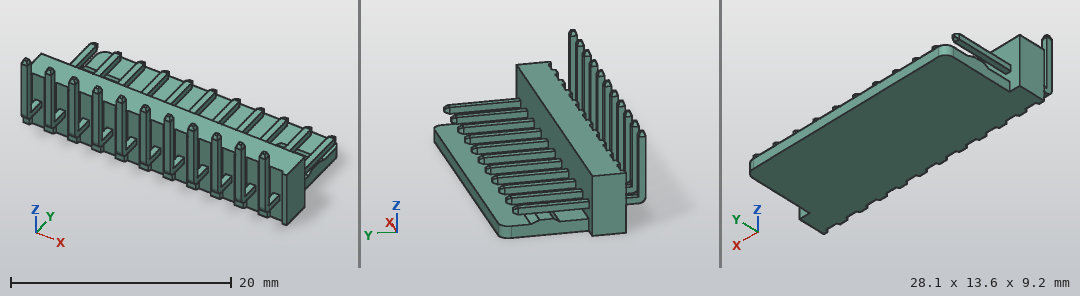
import cadquery as cq


housing_length = 28.12
housing_depth = 3.15
housing_height = 5.85

pin_count = 11
pin_row_span = 25.4
pin_row_offset = 0.08
pin_pitch = pin_row_span / (pin_count - 1)
first_pin_x = pin_row_offset - pin_row_span / 2
pin_positions = [first_pin_x + i * pin_pitch for i in range(pin_count)]

pin_width = 0.65
pin_axis_height = 2.62
pin_top_height = 9.2
pin_front_reach = 2.15
pin_tip_width = 0.35
pin_tip_length = 0.42

groove_depth = 0.3
groove_mouth_width = 1.57
groove_floor_width = 1.3

shelf_width = 25.53
shelf_length = 8.25
shelf_thickness = 1.18
shelf_corner_radius = 0.95
shelf_end = housing_depth + shelf_length
pin_rear_setback = 1.18
pin_rear_end = shelf_end - pin_rear_setback

ridge_width = 4.6
ridge_rise = 0.35
ridge_rear_foot = 2.8
ridge_rear_crest = 3.63
ridge_front_crest = 4.95
ridge_front_foot = 5.5


def make_housing():
    block = cq.Workplane("XY").box(
        housing_length, housing_depth, housing_height, centered=(True, False, False)
    )
    for x in pin_positions:
        block = block.cut(make_groove(x))
    return block


def make_groove(x):
    """Trapezoidal groove, widest at the front face, over the full housing height."""
    return (
        cq.Workplane("XY")
        .moveTo(x - groove_mouth_width / 2, 0)
        .lineTo(x - groove_floor_width / 2, groove_depth)
        .lineTo(x + groove_floor_width / 2, groove_depth)
        .lineTo(x + groove_mouth_width / 2, 0)
        .close()
        .extrude(housing_height)
    )


def make_shelf():
    return (
        cq.Workplane("XY")
        .box(shelf_width, shelf_length, shelf_thickness, centered=(True, False, False))
        .edges("|Z and >Y")
        .fillet(shelf_corner_radius)
        .translate((0, housing_depth, 0))
    )


def make_ridge(x_start):
    """Ridge with sloped flanks, rising from the shelf top."""
    crest_height = shelf_thickness + ridge_rise
    return (
        cq.Workplane("YZ", origin=(x_start, 0, 0))
        .moveTo(shelf_end - ridge_rear_foot, shelf_thickness)
        .lineTo(shelf_end - ridge_rear_crest, crest_height)
        .lineTo(shelf_end - ridge_front_crest, crest_height)
        .lineTo(shelf_end - ridge_front_foot, shelf_thickness)
        .close()
        .extrude(ridge_width)
    )


def make_tip(base_plane):
    """Truncated pyramid that ends a pin."""
    return (
        base_plane.rect(pin_width, pin_width)
        .workplane(offset=pin_tip_length)
        .rect(pin_tip_width, pin_tip_width)
        .loft()
    )


def make_pin():
    """L-shaped pin at x = 0: sharp inside corner, outside corner rounded about it."""
    bar_bottom = pin_axis_height - pin_width / 2
    bar_top = bar_bottom + pin_width
    leg_front = -pin_front_reach
    leg_back = leg_front + pin_width
    bar_end = pin_rear_end - pin_tip_length
    leg_end = pin_top_height - pin_tip_length

    shaft = (
        cq.Workplane("YZ")
        .moveTo(leg_front, leg_end)
        .lineTo(leg_front, bar_top)
        .radiusArc((leg_back, bar_bottom), -pin_width)
        .lineTo(bar_end, bar_bottom)
        .lineTo(bar_end, bar_top)
        .lineTo(leg_back, bar_top)
        .lineTo(leg_back, leg_end)
        .close()
        .extrude(pin_width / 2, both=True)
    )
    leg_center = (leg_front + leg_back) / 2
    leg_tip = make_tip(cq.Workplane("XY", origin=(0, leg_center, leg_end)))
    bar_plane = cq.Plane(origin=(0, bar_end, pin_axis_height), xDir=(1, 0, 0), normal=(0, 1, 0))
    bar_tip = make_tip(cq.Workplane(bar_plane))
    return shaft.union(leg_tip).union(bar_tip)


result = make_housing().union(make_shelf())
for ridge_start in (-shelf_width / 2, shelf_width / 2 - ridge_width):
    result = result.union(make_ridge(ridge_start))
pin = make_pin()
for pin_x in pin_positions:
    result = result.union(pin.translate((pin_x, 0, 0)))